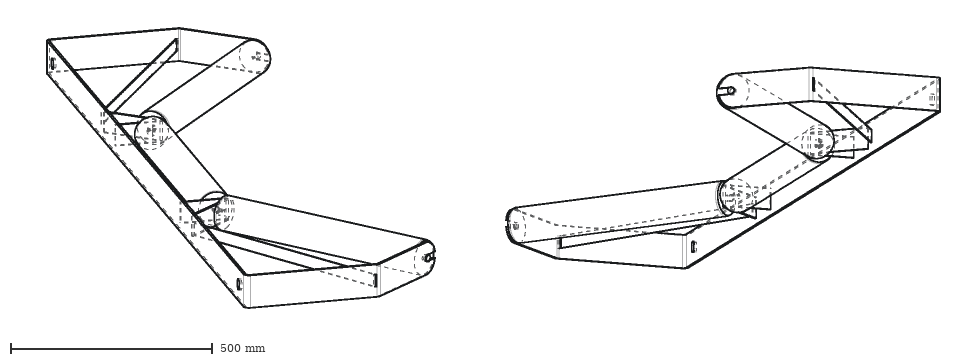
import cadquery as cq
import math


frame_length = 1890.0
overall_height = 531.55
strip_width = 85.0
strip_thickness = 6.0
wall_height = 344.0
bend_radius = 14.0
wing_angle = 40.0
arm_past_axis = 34.0
arm_corner_radius = 40.0
mount_slot_x = 882.0
mount_slot_width = 17.0
mount_slot_length = 28.0

roller_diameter = 89.0
roller_length = 604.0
rim_chamfer_length = 6.0
rim_chamfer_depth = 1.5
shaft_diameter = 17.0
shaft_stickout = 13.5
center_roller_y = 97.5

bracket_width = 54.0
leg_face_x = 306.0
bracket_foot_x = 420.0
bracket_bend_radius = 8.0
wing_gap = 5.0

brace_width = 32.0
brace_thickness = 3.0
brace_wall_y = 339.0
brace_foot_x = 438.0

half_length = frame_length / 2
tilt = math.radians(wing_angle)
arm_run = math.sin(tilt)
arm_rise = math.cos(tilt)
base_top = strip_thickness
roller_rim_radius = roller_diameter / 2 - rim_chamfer_depth

wing_reach = wing_gap + roller_length / 2
wing_y = overall_height - roller_length / 2 * arm_run - roller_rim_radius * arm_rise
wing_x = -bracket_foot_x - (wing_reach - (wing_y - base_top) * arm_run) / arm_rise

axis_along_arm = (wing_x + half_length) * arm_run + (wing_y - wall_height) * arm_rise
axis_x = -half_length + axis_along_arm * arm_run
axis_y = wall_height + axis_along_arm * arm_rise
tip_x = axis_x + arm_past_axis * arm_run
tip_y = axis_y + arm_past_axis * arm_rise


def plate(points, width):
    """Straight-sided outline in XY, extruded evenly about the mid plane Z = 0."""
    return cq.Workplane("XY").polyline(points).close().extrude(width / 2, both=True)


def round_bend(body, point, radius):
    """Round the Z-direction edge nearest to a point in XY."""
    corner = cq.NearestToPointSelector((point[0], point[1], 0))
    return body.edges("|Z").edges(corner).fillet(radius)


def mirror_x(points):
    return [(-x, y) for x, y in reversed(points)]


def along_wing_axis(body):
    """Move a body built about the X axis onto the left wing roller axis."""
    turned = body.rotate((0, 0, 0), (0, 0, 1), -wing_angle)
    return turned.translate((wing_x, wing_y, 0))


def make_roller():
    """Roller with tapered rims and shaft stubs, centred on the origin along X."""
    half = roller_length / 2
    end = half + shaft_stickout
    radius = roller_diameter / 2
    shaft = shaft_diameter / 2
    profile = [
        (-end, 0),
        (-end, shaft),
        (-half, shaft),
        (-half, roller_rim_radius),
        (-half + rim_chamfer_length, radius),
        (half - rim_chamfer_length, radius),
        (half, roller_rim_radius),
        (half, shaft),
        (end, shaft),
        (end, 0),
    ]
    return cq.Workplane("XY").polyline(profile).close().revolve(360, (0, 0, 0), (1, 0, 0))


def brace_outline():
    """Left brace, from the outer face of the wall down to the top of the base."""
    run = half_length - brace_foot_x
    drop = brace_wall_y - base_top
    length = math.hypot(run, drop)
    vertical = brace_thickness * length / run
    horizontal = brace_thickness * length / drop
    return [
        (-half_length, brace_wall_y),
        (-brace_foot_x, base_top),
        (-brace_foot_x - horizontal, base_top),
        (-half_length, brace_wall_y - vertical),
    ]


def make_brace():
    return plate(brace_outline(), brace_width)


def make_frame():
    """Base, end walls and arms bent from one strip."""
    t = strip_thickness
    elbow_shift = t * math.tan(tilt / 2)
    left_outer = [(tip_x, tip_y), (-half_length, wall_height), (-half_length, 0)]
    left_inner = [
        (-half_length + t, base_top),
        (-half_length + t, wall_height - elbow_shift),
        (tip_x + t * arm_rise, tip_y - t * arm_run),
    ]
    body = plate(left_outer + mirror_x(left_outer) + mirror_x(left_inner) + left_inner, strip_width)
    for outer, inner in zip(left_outer[1:], reversed(left_inner[:2])):
        for side in (1, -1):
            body = round_bend(body, (side * outer[0], outer[1]), bend_radius)
            body = round_bend(body, (side * inner[0], inner[1]), bend_radius - t)

    slot_length = 4 * arm_past_axis
    slot = (
        cq.Workplane("YZ")
        .center(slot_length / 2 - shaft_diameter / 2, 0)
        .slot2D(slot_length, shaft_diameter)
        .extrude(strip_thickness * 2, both=True)
        .rotate((0, 0, 0), (0, 0, 1), -wing_angle)
        .translate((axis_x, axis_y, 0))
    )
    for side in (1, -1):
        for z in (1, -1):
            mid_x = side * (tip_x + t / 2 * arm_rise)
            mid = (mid_x, tip_y - t / 2 * arm_run, z * strip_width / 2)
            body = body.edges(cq.NearestToPointSelector(mid)).fillet(arm_corner_radius)
    body = body.cut(slot).cut(slot.mirror("YZ"))

    mounts = (
        cq.Workplane("XZ")
        .pushPoints([(-mount_slot_x, 0), (mount_slot_x, 0)])
        .slot2D(mount_slot_length, mount_slot_width, 90)
        .extrude(strip_thickness, both=True)
    )
    body = body.cut(mounts)

    brace = make_brace()
    return body.cut(brace).cut(brace.mirror("YZ"))


def make_bracket(center_roller, wing_roller):
    """Left inner bracket: a sloping and an upright leg folded from one strip."""
    t = strip_thickness
    steepness = arm_rise / arm_run
    foot = t / arm_rise
    spread = bracket_foot_x - leg_face_x
    apex = (-leg_face_x, base_top + spread * steepness)
    inner_apex = (-leg_face_x - t, base_top + (spread - t - foot) * steepness)
    outline = [
        (-bracket_foot_x, base_top),
        apex,
        (-leg_face_x, base_top),
        (-leg_face_x - t, base_top),
        inner_apex,
        (-bracket_foot_x + foot, base_top),
    ]
    body = plate(outline, bracket_width)
    body = round_bend(body, inner_apex, bracket_bend_radius - t)
    body = round_bend(body, apex, bracket_bend_radius)
    return body.cut(center_roller).cut(wing_roller)


center_roller = make_roller().translate((0, center_roller_y, 0))
wing_roller = along_wing_axis(make_roller())
bracket = make_bracket(center_roller, wing_roller)
brace = make_brace()
frame = make_frame()

bodies = [*frame.solids().vals(), *center_roller.solids().vals()]
for left_body in (wing_roller, bracket, brace):
    bodies.extend(left_body.solids().vals())
    bodies.extend(left_body.mirror("YZ").solids().vals())

result = cq.Compound.makeCompound(bodies)